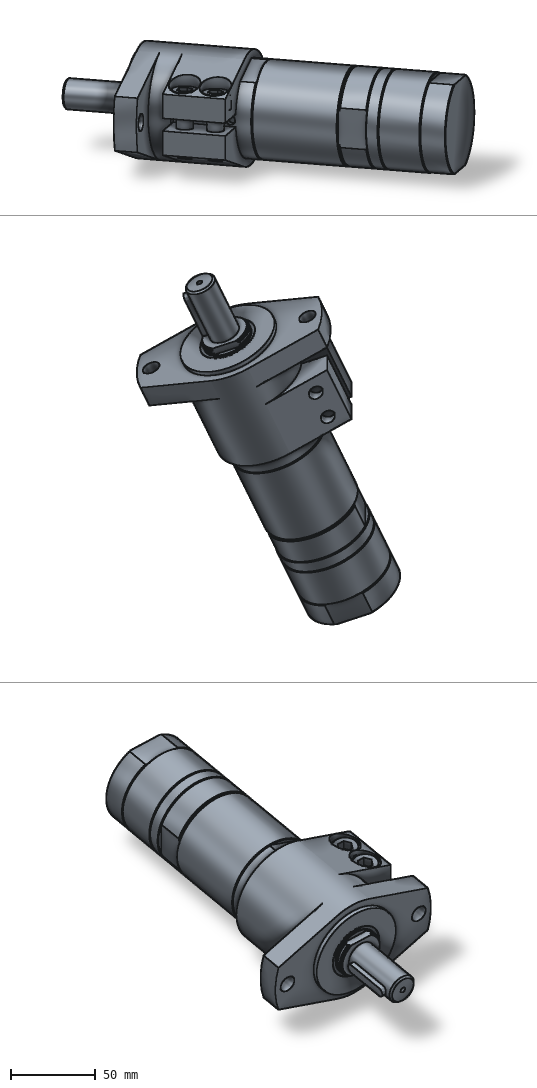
import cadquery as cq
import math

OVERALL_LENGTH = 243
COLLAR_START = 39.4
PILOT_START = 44.0
FLANGE_START = 47.0
FLANGE_END = 61.0
CLAMP_START = 74.8
CLAMP_END = 113.5
BODY_JOINTS = [CLAMP_END, 123.5, 176.2, 193.7, 201.5, 227.2, OVERALL_LENGTH]

SHAFT_DIA = 18.7
SHAFT_CHAMFER = 1.2
CENTRE_HOLE_DIA = 3.5
CENTRE_HOLE_DEPTH = 3.6
KEY_START = 4.4
KEY_LENGTH = 32.3
KEY_WIDTH = 6.0
KEY_TOP = 12.2
COLLAR_DIA = 29.2
COLLAR_CHAMFER = 0.5
COLLAR_RING_DIA = 30.4
COLLAR_RING_START = 40.8
COLLAR_RING_LENGTH = 2.2
COLLAR_ACROSS_FLATS = 24.3
SEAL_RECESS_DIA = 35.0
SEAL_RECESS_DEPTH = 0.7

HOUSING_DIA = 70.0
HOUSING_RADIUS = HOUSING_DIA / 2
FLANGE_DIA = 118.0
FLANK_ANGLE = 20
FLANGE_HOLE_DIA = 10.5
FLANGE_HOLE_OFFSET = 49.8

CLAMP_REACH = 51
SLOT_WIDTH = 7.8
SCREW_OFFSET = 39.9
SCREW_STATIONS = [85, 104.0]
COUNTERBORE_DIA = 18.7
COUNTERBORE_FLOOR = 9.5
HEAD_DIA = 18.0
HEAD_HEIGHT = 10.0
HEAD_CHAMFER = 1.2
SCREW_DIA = 10.2
SCREW_END = -17
TAPPED_HOLE_DIA = 8.3
SOCKET_ACROSS_FLATS = 8.3
SOCKET_DEPTH = 6.0
SOCKET_CONE_DEPTH = 2.5
SLOT_FLOOR_HOLE_DIA = 5.5
SLOT_FLOOR_HOLE_STATION = 110.3
SLOT_FLOOR_HOLE_DEPTH = 4.9

BODY_DIA = 60.0
BODY_RADIUS = BODY_DIA / 2
JOINT_CHAMFER = 0.5
BODY_ACROSS_FLATS = 55.0
SIDE_FLATS_SEGMENT = 2
END_FLATS_SEGMENT = 5
NECK_SEGMENT = 0
NECK_FLAT_DISTANCE = 27.5
STEP_GROOVE_DIA = 58.8
STEP_GROOVE_WIDTH = 0.7


def cylinder(start, end, diameter):
    """Cylinder on the X axis between two stations."""
    return cq.Workplane("YZ").workplane(offset=start).circle(diameter / 2).extrude(end - start)


def slab(start, end, size_y, size_z):
    """Box centred on the X axis between two stations."""
    return cq.Workplane("XY").box(end - start, size_y, size_z).translate(((start + end) / 2, 0, 0))


def pin(station, bottom, top, diameter):
    """Upright cylinder on the clamp screw line."""
    plane = cq.Workplane("XY", origin=(station, -SCREW_OFFSET, bottom))
    return plane.circle(diameter / 2).extrude(top - bottom)


def flank_height(reach):
    """Height, at a sideways reach, of the sloped plane tangent to the housing."""
    angle = math.radians(FLANK_ANGLE)
    return (HOUSING_RADIUS - reach * math.sin(angle)) / math.cos(angle)


TANGENT_Y = HOUSING_RADIUS * math.sin(math.radians(FLANK_ANGLE))
TANGENT_Z = HOUSING_RADIUS * math.cos(math.radians(FLANK_ANGLE))


def make_shaft():
    shaft = cylinder(0, PILOT_START, SHAFT_DIA).faces("<X").chamfer(SHAFT_CHAMFER)
    centre_hole = cylinder(0, CENTRE_HOLE_DEPTH, CENTRE_HOLE_DIA)
    key = (
        cq.Workplane("XZ", origin=(KEY_START + KEY_LENGTH / 2, 0, 0))
        .slot2D(KEY_LENGTH, KEY_WIDTH)
        .extrude(-KEY_TOP)
    )
    return shaft.union(key).cut(centre_hole)


def make_collar():
    collar = cylinder(COLLAR_START, PILOT_START, COLLAR_DIA).faces("<X").chamfer(COLLAR_CHAMFER)
    ring = cylinder(COLLAR_RING_START, COLLAR_RING_START + COLLAR_RING_LENGTH, COLLAR_RING_DIA)
    flats = slab(COLLAR_START, PILOT_START, HOUSING_DIA, COLLAR_ACROSS_FLATS)
    base = cylinder(PILOT_START, FLANGE_START, COLLAR_RING_DIA)
    return collar.union(ring).intersect(flats).union(base)


def sloped_half(start, end, reach):
    """Tapered block on the -Y side whose slopes run off the housing at a tangent."""
    tip_height = flank_height(reach)
    return (
        cq.Workplane("YZ", origin=(start, 0, 0))
        .moveTo(0, -TANGENT_Z)
        .lineTo(-TANGENT_Y, -TANGENT_Z)
        .lineTo(-reach, -tip_height)
        .lineTo(-reach, tip_height)
        .lineTo(-TANGENT_Y, TANGENT_Z)
        .lineTo(0, TANGENT_Z)
        .close()
        .extrude(end - start)
    )


def make_flange():
    """Two-bolt flange with the round pilot and seal recess in front of it."""
    wing = sloped_half(FLANGE_START, FLANGE_END, FLANGE_DIA / 2)
    plate = wing.union(wing.mirror("XZ"))
    plate = plate.intersect(cylinder(FLANGE_START, FLANGE_END, FLANGE_DIA))
    for side in (-1, 1):
        hole = cylinder(FLANGE_START, FLANGE_END, FLANGE_HOLE_DIA)
        plate = plate.cut(hole.translate((0, side * FLANGE_HOLE_OFFSET, 0)))
    pilot = cylinder(PILOT_START, FLANGE_START, BODY_DIA)
    recess = cylinder(PILOT_START, PILOT_START + SEAL_RECESS_DEPTH, SEAL_RECESS_DIA)
    return plate.union(pilot.cut(recess))


def make_clamp():
    """Housing barrel with its split ears on the -Y side."""
    ears = sloped_half(CLAMP_START, CLAMP_END, CLAMP_REACH)
    slot = slab(CLAMP_START, CLAMP_END, CLAMP_REACH, SLOT_WIDTH).translate((0, -CLAMP_REACH / 2, 0))
    core = cylinder(FLANGE_START, CLAMP_END, BODY_DIA)
    clamp = cylinder(FLANGE_START, CLAMP_END, HOUSING_DIA).union(ears).cut(slot).union(core)
    for station in SCREW_STATIONS:
        clamp = clamp.cut(pin(station, COUNTERBORE_FLOOR, HOUSING_RADIUS, COUNTERBORE_DIA))
        clamp = clamp.cut(pin(station, -HOUSING_RADIUS, 0, TAPPED_HOLE_DIA))
    floor_hole = (
        cq.Workplane("XZ", origin=(SLOT_FLOOR_HOLE_STATION, -BODY_RADIUS, 0))
        .circle(SLOT_FLOOR_HOLE_DIA / 2)
        .extrude(-SLOT_FLOOR_HOLE_DEPTH)
    )
    return clamp.cut(floor_hole)


def make_screw(station):
    """Socket head screw joining the two clamp ears."""
    head_top = COUNTERBORE_FLOOR + HEAD_HEIGHT
    socket_floor = head_top - SOCKET_DEPTH
    head = pin(station, COUNTERBORE_FLOOR, head_top, HEAD_DIA).faces(">Z").chamfer(HEAD_CHAMFER)
    socket = (
        cq.Workplane("XY", origin=(station, -SCREW_OFFSET, socket_floor))
        .polygon(6, SOCKET_ACROSS_FLATS, circumscribed=True)
        .extrude(SOCKET_DEPTH)
    )
    cone = cq.Workplane(
        cq.Solid.makeCone(
            SOCKET_ACROSS_FLATS / 2,
            0,
            SOCKET_CONE_DEPTH,
            pnt=cq.Vector(station, -SCREW_OFFSET, socket_floor),
            dir=cq.Vector(0, 0, -1),
        )
    )
    shank = pin(station, -SLOT_WIDTH, COUNTERBORE_FLOOR, SCREW_DIA)
    threaded_end = pin(station, SCREW_END, -SLOT_WIDTH, TAPPED_HOLE_DIA)
    return head.cut(socket).cut(cone).union(shank).union(threaded_end)


def make_body_segment(index):
    """One section of the motor body, with small end chamfers and any wrench flats."""
    start, end = BODY_JOINTS[index], BODY_JOINTS[index + 1]
    chamfered_ends = ">X" if index == NECK_SEGMENT else "<X or >X"
    if index == SIDE_FLATS_SEGMENT:
        groove = cylinder(start, start + STEP_GROOVE_WIDTH, STEP_GROOVE_DIA)
        segment = cylinder(start + STEP_GROOVE_WIDTH, end, BODY_DIA)
        segment = segment.faces(chamfered_ends).chamfer(JOINT_CHAMFER).union(groove)
        return segment.intersect(slab(start, end, BODY_ACROSS_FLATS, BODY_DIA))
    segment = cylinder(start, end, BODY_DIA).faces(chamfered_ends).chamfer(JOINT_CHAMFER)
    if index == END_FLATS_SEGMENT:
        segment = segment.intersect(slab(start, end, BODY_DIA, BODY_ACROSS_FLATS))
    return segment


def make_neck_relief():
    """Block that cuts a flat on the neck, parallel to the upper clamp slope."""
    start, end = BODY_JOINTS[NECK_SEGMENT], BODY_JOINTS[NECK_SEGMENT + 1]
    block = slab(start, end, BODY_DIA, BODY_RADIUS)
    block = block.translate((0, 0, NECK_FLAT_DISTANCE + BODY_RADIUS / 2))
    return block.rotate((0, 0, 0), (1, 0, 0), FLANK_ANGLE)


result = make_shaft().union(make_flange()).union(make_collar()).union(make_clamp())
for screw_station in SCREW_STATIONS:
    result = result.union(make_screw(screw_station))
for segment_index in range(len(BODY_JOINTS) - 1):
    result = result.union(make_body_segment(segment_index))
result = result.cut(make_neck_relief())